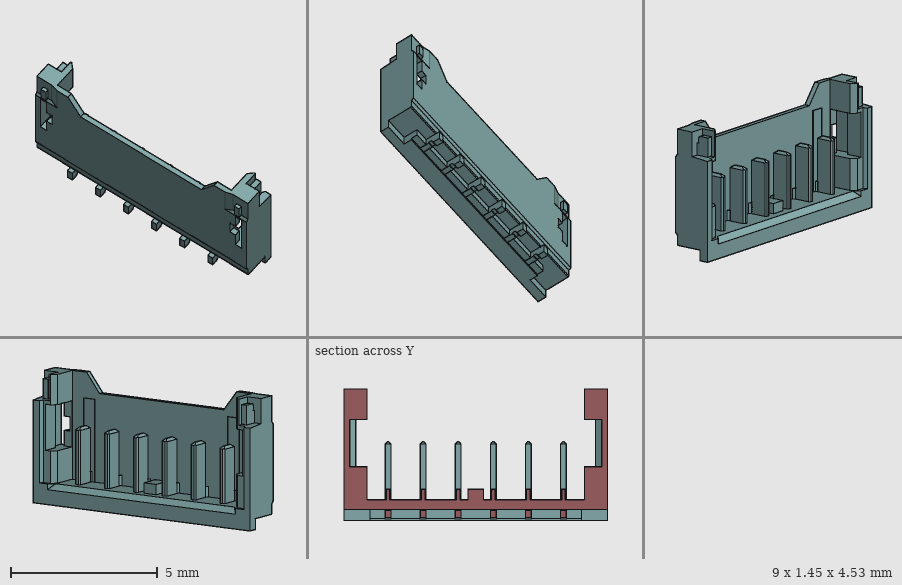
import cadquery as cq

LENGTH = 9
HEIGHT = 4.5
DEPTH = 1.395
HALF = LENGTH / 2
OVERCUT = 0.09
FLOOR_Z = 0.72
UNDERSIDE_Z = 0.38
FOOT_FRONT = 1.06
FRONT_STEP = 0.08
STEP_TOP_Z = 0.82
LOWER_CHAMFER = 0.04

CAVITY_HALF = 3.71
PLATE_THICKNESS = 0.2
SIDE_WALL_REAR = 1.25
SIDE_WALL_CHAMFER = 0.18
REAR_OPENING_HALF = 4.25
REAR_OPENING_INNER_HALF = 4.18
BEVEL_START = 1.2

SCOOP_Z = 3.82
SCOOP_TOP_HALF = 3.11
SCOOP_BOTTOM_HALF = 2.57

CORNER_FLOOR_REAR_Z = 3.6
SHELF_FRONT_Z = 3.63
SHELF_REAR_Z = 3.57
END_BLOCK_REAR = 0.73
END_BLOCK_INNER = 3.94
CORNER_FLAT_INNER = 3.87
CORNER_SLOPE_INNER = 3.57
CORNER_FLOOR_FRONT_Z = 3.51

WINDOW_BOTTOM_Z = 1.845
WINDOW_TOP_Z = 3.45
WINDOW_OUTER = 4.29
WINDOW_INNER = 4.02
WINDOW_REAR = 4.09
WINDOW_EDGE_DEPTH = 0.225
WINDOW_FLARE_FRONT = 0.54
WINDOW_FLARE_REAR = 0.67
NOTCH_INNER = 3.79
NOTCH_BOTTOM_Z = 2.385
NOTCH_TOP_Z = 2.88

BOSS_HALF = 3.6
BOSS_FRONT = 0.51
BOSS_STEP_Y = 0.76
BOSS_STEP_Z = 0.08

PIN_COUNT = 6
PIN_PITCH = 1.2
PIN_WIDTH = 0.21
PIN_FRONT = 0.3
PIN_REAR = 0.93
PIN_CORNER = 0.05
PIN_SHOULDER_Z = 2.61
PIN_TOP_Z = 2.7
RIDGE_WIDTH = 0.045
RIDGE_FRONT = 0.42
RIDGE_REAR = 0.77
TAIL_FRONT = -0.05
TAIL_BOTTOM_Z = -0.03
TAIL_TOP_Z = 0.36
TAIL_NECK_Z = 0.06
TAIL_ARCH_Z = 0.11
TAIL_ARCH_FRONT = 0.28
TAIL_ARCH_REAR = 0.4
TAIL_HEEL = 0.2

RIB_TOP_Z = 1.08
RIB_NARROW = 0.13
RIB_WIDE = 0.29
PAD_WIDTH = 0.47
PAD_THICKNESS = 0.03
PAD_TOP_Z = 3.6
KEY_REAR = 0.89
KEY_ROOT_WIDTH = 0.55
KEY_TIP_WIDTH = 0.5
KEY_TOP_Z = 1.08

NAIL_X = 4.12
NAIL_WIDTH = 0.21
NAIL_BOTTOM_Z = SHELF_FRONT_Z
NAIL_FRONT_TOP_Z = 4.1
NAIL_REAR = 1.2
NAIL_REAR_TOP_Z = 4.31
NAIL_NECK_Y = 0.78
NAIL_NECK_Z = 4.06
NAIL_CHAMFER = 0.06


def box(x0, x1, y0, y1, z0, z1):
    return cq.Workplane("XY").box(x1 - x0, y1 - y0, z1 - z0, centered=False).translate((x0, y0, z0))


def plan_prism(points, z0, z1):
    """Extrude an (x, y) outline between two heights."""
    return cq.Workplane("XY").workplane(offset=z0).polyline(points).close().extrude(z1 - z0)


def side_prism(points, x0, x1):
    """Extrude a (y, z) outline between two X positions."""
    return cq.Workplane("YZ").workplane(offset=x0).polyline(points).close().extrude(x1 - x0)


def front_prism(points, y0, y1):
    """Extrude an (x, z) outline between two Y positions."""
    return cq.Workplane("XZ").workplane(offset=-y1).polyline(points).close().extrude(y1 - y0)


def both_ends(shape):
    return shape.union(shape.mirror("YZ"))


def housing():
    profile = [
        (0, HEIGHT),
        (0, STEP_TOP_Z),
        (FRONT_STEP, STEP_TOP_Z - FRONT_STEP),
        (FRONT_STEP, UNDERSIDE_Z + LOWER_CHAMFER),
        (FRONT_STEP + LOWER_CHAMFER, UNDERSIDE_Z),
        (FOOT_FRONT, UNDERSIDE_Z),
        (FOOT_FRONT, 0),
        (DEPTH, 0),
        (DEPTH, HEIGHT),
    ]
    return side_prism(profile, -HALF, HALF)


def plug_cavity():
    """Cavity between the side walls, widening behind them into the rear opening."""
    rear = DEPTH + OVERCUT
    chamfer_outer = CAVITY_HALF + SIDE_WALL_CHAMFER
    right_side = [
        (CAVITY_HALF, PLATE_THICKNESS),
        (CAVITY_HALF, SIDE_WALL_REAR - SIDE_WALL_CHAMFER),
        (chamfer_outer, SIDE_WALL_REAR),
        (REAR_OPENING_INNER_HALF, SIDE_WALL_REAR),
        (REAR_OPENING_HALF, DEPTH),
        (REAR_OPENING_HALF, rear),
    ]
    left_side = [(-x, y) for x, y in reversed(right_side)]
    return plan_prism(right_side + left_side, FLOOR_Z, HEIGHT + OVERCUT)


def floor_bevel():
    """Slope on the rear edge of the floor, mitred at both ends."""
    drop = DEPTH - BEVEL_START
    slope = side_prism(
        [(BEVEL_START, FLOOR_Z), (DEPTH, FLOOR_Z), (DEPTH, FLOOR_Z - drop)], -HALF, HALF
    )
    mitre = plan_prism(
        [
            (-CAVITY_HALF, BEVEL_START),
            (CAVITY_HALF, BEVEL_START),
            (CAVITY_HALF + drop, DEPTH),
            (-CAVITY_HALF - drop, DEPTH),
        ],
        0,
        HEIGHT,
    )
    return slope.intersect(mitre)


def plate_scoop():
    top = HEIGHT + OVERCUT
    outline = [
        (-SCOOP_TOP_HALF, top),
        (-SCOOP_TOP_HALF, HEIGHT),
        (-SCOOP_BOTTOM_HALF, SCOOP_Z),
        (SCOOP_BOTTOM_HALF, SCOOP_Z),
        (SCOOP_TOP_HALF, HEIGHT),
        (SCOOP_TOP_HALF, top),
    ]
    return front_prism(outline, -OVERCUT, PLATE_THICKNESS + OVERCUT)


def rear_shelf():
    outline = [
        (END_BLOCK_REAR, HEIGHT),
        (END_BLOCK_REAR, SHELF_FRONT_Z),
        (DEPTH, SHELF_REAR_Z),
        (DEPTH, HEIGHT),
    ]
    return side_prism(outline, END_BLOCK_INNER, HALF)


def front_corner():
    """Setback of the top front corner, with a sloping floor and inner side."""
    plan = plan_prism(
        [(CORNER_SLOPE_INNER, 0), (CORNER_FLAT_INNER, FRONT_STEP), (HALF, FRONT_STEP), (HALF, 0)],
        CORNER_FLOOR_FRONT_Z,
        HEIGHT,
    )
    section = side_prism(
        [
            (0, CORNER_FLOOR_FRONT_Z),
            (FRONT_STEP, CORNER_FLOOR_REAR_Z),
            (FRONT_STEP, HEIGHT),
            (0, HEIGHT),
        ],
        0,
        HALF,
    )
    return plan.intersect(section)


def latch_window():
    """Slot in the front plate that opens through the side wall to the cavity and rear."""
    outline = [
        (WINDOW_OUTER, 0),
        (WINDOW_INNER, 0),
        (WINDOW_INNER, WINDOW_EDGE_DEPTH),
        (CAVITY_HALF, WINDOW_EDGE_DEPTH),
        (CAVITY_HALF, SIDE_WALL_REAR),
        (WINDOW_REAR, SIDE_WALL_REAR),
        (WINDOW_REAR, WINDOW_FLARE_REAR),
        (WINDOW_OUTER, WINDOW_FLARE_FRONT),
    ]
    notch = box(NOTCH_INNER, WINDOW_INNER, 0, WINDOW_EDGE_DEPTH, NOTCH_BOTTOM_Z, NOTCH_TOP_Z)
    return plan_prism(outline, WINDOW_BOTTOM_Z, WINDOW_TOP_Z).union(notch)


def tail_boss():
    outline = [
        (BOSS_FRONT, FLOOR_Z),
        (BOSS_FRONT, BOSS_STEP_Z),
        (BOSS_STEP_Y, BOSS_STEP_Z),
        (BOSS_STEP_Y, 0),
        (FOOT_FRONT, 0),
        (FOOT_FRONT, FLOOR_Z),
    ]
    return side_prism(outline, -BOSS_HALF, BOSS_HALF)


def contact_blade():
    """Upright blade with rear corners cut off and a roof rising to a narrow ridge."""
    half = PIN_WIDTH / 2
    outline = [
        (-half, PIN_FRONT),
        (half, PIN_FRONT),
        (half, PIN_REAR - PIN_CORNER),
        (half - PIN_CORNER, PIN_REAR),
        (PIN_CORNER - half, PIN_REAR),
        (-half, PIN_REAR - PIN_CORNER),
    ]
    blade_centre = (PIN_FRONT + PIN_REAR) / 2
    ridge_centre = (RIDGE_FRONT + RIDGE_REAR) / 2
    roof = (
        cq.Workplane("XY")
        .workplane(offset=PIN_SHOULDER_Z)
        .center(0, blade_centre)
        .rect(PIN_WIDTH, PIN_REAR - PIN_FRONT)
        .workplane(offset=PIN_TOP_Z - PIN_SHOULDER_Z)
        .center(0, ridge_centre - blade_centre)
        .rect(RIDGE_WIDTH, RIDGE_REAR - RIDGE_FRONT)
        .loft(ruled=True)
    )
    shaft = plan_prism(outline, UNDERSIDE_Z, PIN_SHOULDER_Z)
    return shaft.union(roof.intersect(plan_prism(outline, PIN_SHOULDER_Z, PIN_TOP_Z)))


def contact_tail():
    outline = [
        (TAIL_FRONT, TAIL_TOP_Z),
        (TAIL_FRONT, TAIL_BOTTOM_Z),
        (TAIL_HEEL, TAIL_BOTTOM_Z),
        (TAIL_ARCH_FRONT, TAIL_ARCH_Z),
        (TAIL_ARCH_REAR, TAIL_ARCH_Z),
        (TAIL_ARCH_REAR, TAIL_NECK_Z),
        (BOSS_STEP_Y, TAIL_NECK_Z),
        (BOSS_STEP_Y, TAIL_TOP_Z),
    ]
    return side_prism(outline, -PIN_WIDTH / 2, PIN_WIDTH / 2)


def contact_rib():
    outline = [
        (-RIB_WIDE / 2, PLATE_THICKNESS),
        (RIB_WIDE / 2, PLATE_THICKNESS),
        (RIB_NARROW / 2, PIN_FRONT),
        (-RIB_NARROW / 2, PIN_FRONT),
    ]
    return plan_prism(outline, UNDERSIDE_Z, RIB_TOP_Z)


def polarising_key():
    outline = [
        (-KEY_ROOT_WIDTH / 2, PLATE_THICKNESS),
        (KEY_ROOT_WIDTH / 2, PLATE_THICKNESS),
        (KEY_TIP_WIDTH / 2, KEY_REAR),
        (-KEY_TIP_WIDTH / 2, KEY_REAR),
    ]
    return plan_prism(outline, UNDERSIDE_Z, KEY_TOP_Z)


def outer_pin_pad():
    pad_x = PIN_PITCH * (PIN_COUNT - 1) / 2
    return box(
        pad_x - PAD_WIDTH / 2,
        pad_x + PAD_WIDTH / 2,
        PLATE_THICKNESS,
        PLATE_THICKNESS + PAD_THICKNESS,
        FLOOR_Z,
        PAD_TOP_Z,
    )


def retention_nail():
    """Nail passing through the end block and standing out at front and rear."""
    outline = [
        (TAIL_FRONT, NAIL_BOTTOM_Z),
        (NAIL_REAR, NAIL_BOTTOM_Z),
        (NAIL_REAR, NAIL_REAR_TOP_Z),
        (NAIL_NECK_Y + NAIL_CHAMFER, NAIL_REAR_TOP_Z),
        (NAIL_NECK_Y, NAIL_REAR_TOP_Z - NAIL_CHAMFER),
        (NAIL_NECK_Y, NAIL_NECK_Z),
        (END_BLOCK_REAR, NAIL_NECK_Z),
        (END_BLOCK_REAR, NAIL_FRONT_TOP_Z),
        (TAIL_FRONT, NAIL_FRONT_TOP_Z),
    ]
    return side_prism(outline, NAIL_X - NAIL_WIDTH / 2, NAIL_X + NAIL_WIDTH / 2)


body = housing().cut(plug_cavity()).cut(floor_bevel()).cut(plate_scoop())
for end_cut in (rear_shelf(), front_corner(), latch_window()):
    body = body.cut(both_ends(end_cut))

body = body.union(tail_boss()).union(polarising_key())
for end_feature in (outer_pin_pad(), retention_nail()):
    body = body.union(both_ends(end_feature))

contact = contact_blade().union(contact_tail()).union(contact_rib())
for index in range(PIN_COUNT):
    contact_x = (index - (PIN_COUNT - 1) / 2) * PIN_PITCH
    body = body.union(contact.translate((contact_x, 0, 0)))

result = body